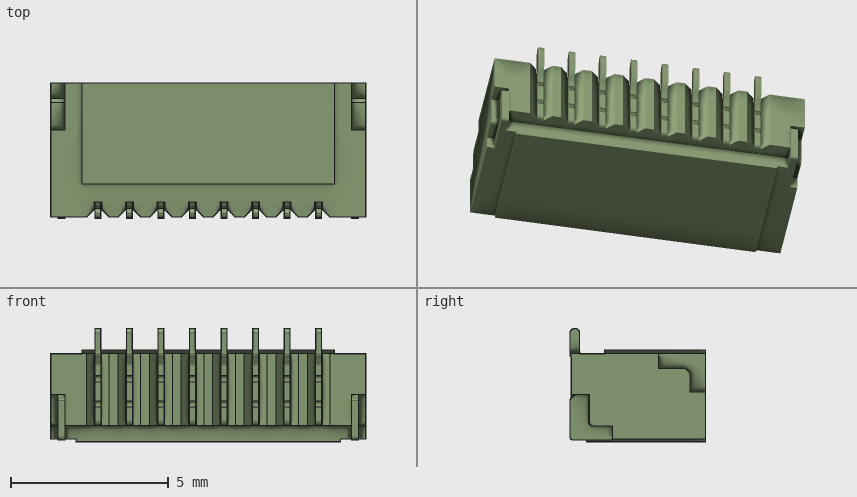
import cadquery as cq


length = 10.0
depth = 4.26
housing_top = 2.8
housing_base = 0.09

top_pad_length = 8.0
top_pad_depth = 3.2
top_pad_height = 0.12
base_pad_length = 8.4
base_pad_depth = 3.78

undercut_depth = depth - base_pad_depth

pin_count = 8
pin_pitch = 1.0
groove_floor = 0.52
groove_width = 0.72
slot_width = 0.24
slot_depth = undercut_depth

pin_width = 0.19
pin_top = 3.6
pin_overhang = 0.04
shaft_thickness = 0.31
pin_face_inset = 0.1
bend_front_top = 2.74
bend_front_bottom = 2.48
bend_back_top = 2.78
bend_back_bottom = 2.65
front_bend_radius = 0.12
back_bend_radius = 0.19
shaft_end_radius = 0.15
pin_tip_radius = 0.13
pin_notch_radius = 0.1
pin_notch_heights = (1.2, 2.0)

end_cut_width = 0.46
end_notch_run = 1.49
end_notch_shelf = 2.32
end_notch_back_run = 0.49
end_notch_floor = 1.59
end_notch_chamfer = 0.14

pocket_top = 1.51
pocket_run = 0.58
pocket_leg_run = 1.31
pocket_leg_top = 0.51
pocket_fillet = 0.12
tab_width = 0.23
tab_gap = 0.03
tab_bottom = 0.06
tab_bevel_run = 0.22
tab_bevel_drop = 0.15
tab_corner_radius = 0.09
tab_heel_radius = 0.04


def box(x_range, y_range, z_range):
    """Box spanning the given (low, high) ranges."""
    sizes = [high - low for low, high in (x_range, y_range, z_range)]
    corner = (x_range[0], y_range[0], z_range[0])
    return cq.Workplane("XY").box(*sizes, centered=False).translate(corner)


def side_profile(points, x_start, width):
    """Prism of a (Y, Z) outline that extends from x_start toward +X."""
    return cq.Workplane("YZ", origin=(x_start, 0, 0)).polyline(points).close().extrude(width)


def on_both_ends(shape):
    """The shape together with its mirror image at the other end."""
    return shape.union(shape.mirror("YZ"))


def round_edge(shape, y, z, radius):
    """Fillet the X-direction edge that passes through (y, z)."""
    reach = 0.005
    selector = cq.selectors.BoxSelector(
        (-length, y - reach, z - reach), (length, y + reach, z + reach)
    )
    return shape.edges("|X").edges(selector).fillet(radius)


def make_housing():
    housing = box((-length / 2, length / 2), (0, depth), (housing_base, housing_top))
    top_pad = box(
        (-top_pad_length / 2, top_pad_length / 2),
        (depth - top_pad_depth, depth),
        (housing_top, housing_top + top_pad_height),
    )
    base_pad = box(
        (-base_pad_length / 2, base_pad_length / 2),
        (depth - base_pad_depth, depth),
        (0, housing_base),
    )
    return housing.union(top_pad).union(base_pad)


def make_front_undercut():
    """Cut that sets the front face back below the pin grooves."""
    half_width = length / 2 - end_cut_width
    return box(
        (-half_width, half_width),
        (0, undercut_depth),
        (housing_base, groove_floor),
    )


def make_pin_groove():
    """Groove with 45 degree flanks that narrows into a straight slot."""
    flank = (groove_width - slot_width) / 2
    outline = [
        (-groove_width / 2, 0),
        (-slot_width / 2, flank),
        (-slot_width / 2, slot_depth),
        (slot_width / 2, slot_depth),
        (slot_width / 2, flank),
        (groove_width / 2, 0),
    ]
    groove = cq.Workplane("XY", origin=(0, 0, groove_floor)).polyline(outline).close()
    return groove.extrude(housing_top - groove_floor)


def make_pin():
    """Round-topped shaft, joggled back into the slot, with notches in its face."""
    shaft_front = -pin_overhang
    shaft_back = shaft_front + shaft_thickness
    outline = [
        (pin_face_inset, groove_floor),
        (pin_face_inset, bend_front_bottom),
        (shaft_front, bend_front_top),
        (shaft_front, pin_top),
        (shaft_back, pin_top),
        (shaft_back, bend_back_top),
        (slot_depth, bend_back_bottom),
        (slot_depth, groove_floor),
    ]
    pin = side_profile(outline, -pin_width / 2, pin_width)
    pin = round_edge(pin, shaft_front, pin_top, shaft_end_radius)
    pin = round_edge(pin, shaft_back, pin_top, shaft_end_radius)
    pin = round_edge(pin, pin_face_inset, bend_front_bottom, front_bend_radius)
    pin = round_edge(pin, shaft_front, bend_front_top, front_bend_radius)
    pin = round_edge(pin, shaft_back, bend_back_top, back_bend_radius)
    pin = round_edge(pin, pin_face_inset, groove_floor, pin_tip_radius)
    notches = (
        cq.Workplane("YZ", origin=(-pin_width / 2, 0, 0))
        .pushPoints([(pin_face_inset, height) for height in pin_notch_heights])
        .circle(pin_notch_radius)
        .extrude(pin_width)
    )
    return pin.cut(notches)


def make_back_notches():
    """L-shaped cuts that open to the top, the back and the end faces."""
    shelf_end = depth - end_notch_back_run
    outline = [
        (depth, housing_top),
        (depth - end_notch_run, housing_top),
        (depth - end_notch_run, end_notch_shelf),
        (shelf_end - end_notch_chamfer, end_notch_shelf),
        (shelf_end, end_notch_shelf - end_notch_chamfer),
        (shelf_end, end_notch_floor),
        (depth, end_notch_floor),
    ]
    return on_both_ends(side_profile(outline, -length / 2, end_cut_width))


def make_tab_pockets():
    """L-shaped cuts that open to the front, the underside and the end faces."""
    outline = [
        (0, housing_base),
        (0, pocket_top),
        (pocket_run, pocket_top),
        (pocket_run, pocket_leg_top),
        (pocket_leg_run, pocket_leg_top),
        (pocket_leg_run, housing_base),
    ]
    pocket = side_profile(outline, -length / 2, end_cut_width)
    pocket = round_edge(pocket, pocket_run, pocket_leg_top, pocket_fillet)
    return on_both_ends(pocket)


def make_solder_tabs():
    """L-shaped plates that lie against the inner walls of the pockets."""
    front = -pin_overhang
    back = pocket_run - tab_gap
    bevel_bottom = pocket_top - tab_bevel_drop
    outline = [
        (front, tab_bottom),
        (front, bevel_bottom),
        (front + tab_bevel_run, pocket_top),
        (back, pocket_top),
        (back, pocket_leg_top),
        (pocket_leg_run, pocket_leg_top),
        (pocket_leg_run, tab_bottom),
    ]
    tab = side_profile(outline, -length / 2 + end_cut_width - tab_width, tab_width)
    tab = round_edge(tab, front, tab_bottom, tab_corner_radius)
    tab = round_edge(tab, front, bevel_bottom, tab_corner_radius)
    tab = round_edge(tab, back, pocket_leg_top, pocket_fillet)
    tab = round_edge(tab, pocket_leg_run, tab_bottom, tab_heel_radius)
    return on_both_ends(tab)


result = (
    make_housing()
    .cut(make_front_undercut())
    .cut(make_back_notches())
    .cut(make_tab_pockets())
    .union(make_solder_tabs())
)

pin_groove = make_pin_groove()
pin = make_pin()
for index in range(pin_count):
    pin_position = ((index - (pin_count - 1) / 2) * pin_pitch, 0, 0)
    result = result.cut(pin_groove.translate(pin_position)).union(pin.translate(pin_position))